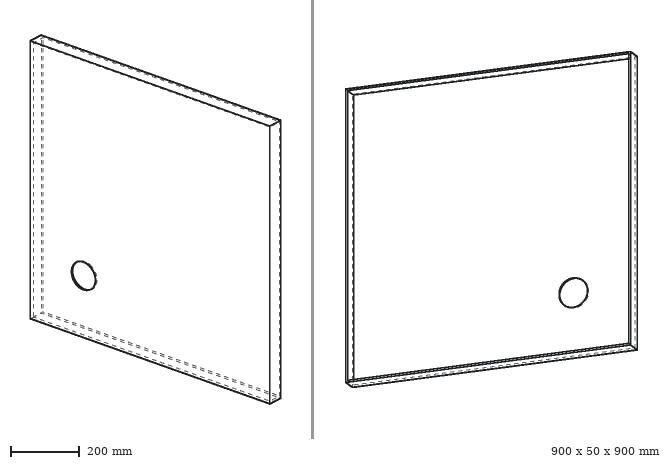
import cadquery as cq

tray_side = 900.0
tray_depth = 50.0
sheet_thickness = 6.0

hole_diameter = 90.0
hole_edge_distance = 200.0


def make_tray():
    """Thin-walled square tray centred on the origin."""
    block = cq.Workplane("XY").box(tray_side, tray_depth, tray_side)
    return block.faces(">Y").shell(-sheet_thickness)


def cut_floor_hole(tray):
    """Cut the round hole through the tray floor."""
    hole_offset = hole_edge_distance - tray_side / 2
    return (
        tray.faces("<Y")
        .workplane(centerOption="CenterOfBoundBox")
        .center(hole_offset, hole_offset)
        .hole(hole_diameter)
    )


result = cut_floor_hole(make_tray())